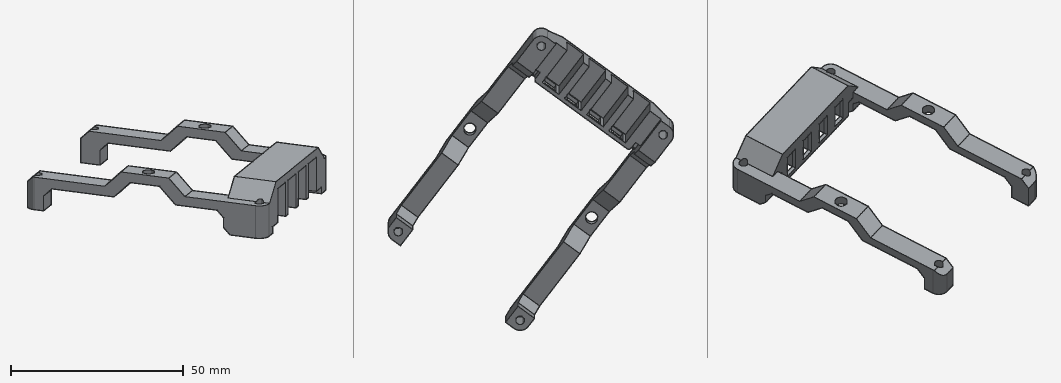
import cadquery as cq

length = 75.0
width = 50.0
height = 15.0

arm_width = 6.0
arm_thickness = 2.9
arm_top = 10.0
corner_radius = 3.0
hump_start = 25.0
rise = height - arm_top
toe_chamfer = 2.5
toe_length = 6.0
heel_length = 13.0
heel_chamfer = 2.0
hump_end = length - hump_start
arm_bottom = arm_top - arm_thickness

corner_hole_diameter = 2.5
corner_hole_inset = 3.0
middle_hole_diameter = 3.5

housing_bottom = heel_chamfer
housing_width = 43.05

window_count = 4
window_pitch = 8.0
window_width = 4.05
window_height = 8.0
window_bottom = 3.45
front_wall = 1.1
cavity_margin = 1.0

recess_reach = 2.25
recess_top = 7.6
recess_depth = 3.0
mouth_chamfer = 0.5

housing_front = length - heel_length
arm_inner = width / 2 - arm_width
arm_center = width / 2 - arm_width / 2


def box_between(x_range, y_range, z_range):
    """Axis-aligned box spanning the given (low, high) ranges."""
    (x0, x1), (y0, y1), (z0, z1) = x_range, y_range, z_range
    return cq.Workplane("XY").box(x1 - x0, y1 - y0, z1 - z0, centered=False).translate((x0, y0, z0))


def make_arm():
    """Arm on the -Y side: the side profile extruded, with its outer corners rounded."""
    outline = [
        (0, 0),
        (0, arm_top - toe_chamfer),
        (toe_chamfer, arm_top),
        (hump_start, arm_top),
        (hump_start + rise, height),
        (hump_end - rise, height),
        (hump_end, arm_top),
        (length, arm_top),
        (length, 0),
        (housing_front + heel_chamfer, 0),
        (housing_front, heel_chamfer),
        (housing_front, arm_bottom - heel_chamfer),
        (housing_front - heel_chamfer, arm_bottom),
        (hump_end - arm_thickness, arm_bottom),
        (hump_end - arm_thickness - rise, height - arm_thickness),
        (hump_start + arm_thickness + rise, height - arm_thickness),
        (hump_start + arm_thickness, arm_bottom),
        (toe_length + toe_chamfer, arm_bottom),
        (toe_length, arm_bottom - toe_chamfer),
        (toe_length, 0),
    ]
    profile = cq.Workplane("XZ", origin=(0, -arm_inner, 0)).polyline(outline).close().extrude(arm_width)
    footprint = (
        cq.Workplane("XY")
        .rect(length, width)
        .extrude(height)
        .edges("|Z")
        .fillet(corner_radius)
        .translate((length / 2, 0, 0))
    )
    return profile.intersect(footprint)


def make_housing():
    """Block across the arms with its end top edges sloped down to the arm tops."""
    half = housing_width / 2
    outline = [
        (-half, housing_bottom),
        (-half, arm_top),
        (-half + rise, height),
        (half - rise, height),
        (half, arm_top),
        (half, housing_bottom),
    ]
    return cq.Workplane("YZ", origin=(housing_front, 0, 0)).polyline(outline).close().extrude(heel_length)


def cut_windows(housing):
    """Cut the windows and the cavities, which are open at the bottom and the back."""
    cavity_front = housing_front + front_wall
    window_top = window_bottom + window_height
    window_half = window_width / 2
    cavity_half = window_half + cavity_margin
    for index in range(window_count):
        y = (index - (window_count - 1) / 2) * window_pitch
        window = box_between(
            (housing_front, cavity_front), (y - window_half, y + window_half), (window_bottom, window_top)
        )
        cavity = box_between(
            (cavity_front, length),
            (y - cavity_half, y + cavity_half),
            (housing_bottom, window_top + cavity_margin),
        )
        housing = housing.cut(window).cut(cavity)
    return housing


def make_recess():
    """Recess on the -Y side, open at the front and the bottom, with a 45 degree chamfer round its mouth."""

    def opening(sketch, inset):
        """Rectangle against the arm, its inner side and top moved in by the inset."""
        outer = -arm_inner
        inner = outer + recess_reach - inset
        top = recess_top - inset
        corners = [(outer, housing_bottom), (inner, housing_bottom), (inner, top), (outer, top)]
        return sketch.polyline(corners).close()

    front_plane = cq.Workplane("YZ", origin=(housing_front, 0, 0))
    pocket = opening(front_plane, mouth_chamfer).extrude(recess_depth)
    mouth = opening(front_plane, 0).workplane(offset=mouth_chamfer)
    mouth = opening(mouth, mouth_chamfer).loft(ruled=True)
    return mouth.union(pocket)


def make_holes():
    """Vertical holes through the ends and the middle of both arms."""

    def pins(diameter, x_places):
        """Cylinders of one diameter at the given X places, along both arms."""
        spots = [(x, y) for x in x_places for y in (-arm_center, arm_center)]
        return cq.Workplane("XY").pushPoints(spots).circle(diameter / 2).extrude(height)

    corner_holes = pins(corner_hole_diameter, (corner_hole_inset, length - corner_hole_inset))
    middle_holes = pins(middle_hole_diameter, (length / 2,))
    return corner_holes.union(middle_holes)


arm = make_arm()
recess = make_recess()
frame = cut_windows(make_housing()).union(arm).union(arm.mirror("XZ"))
result = frame.cut(recess).cut(recess.mirror("XZ")).cut(make_holes())